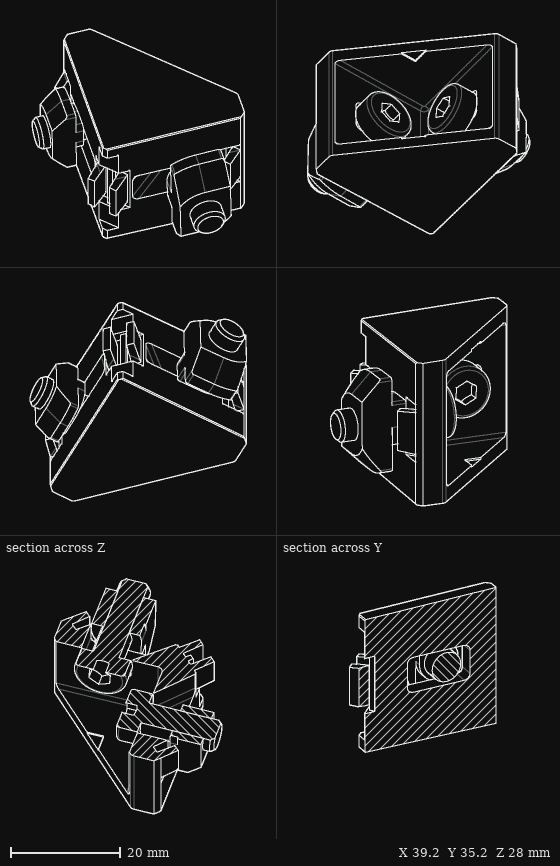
import cadquery as cq
import math


LEG_LENGTH = 27.2
HEIGHT = 28.0
LEG_THICKNESS = 6.0
LEG_END_WIDTH = 5.37
END_CHAMFER = 1.05
CORNER_CHAMFER = 0.75
BACK_EDGE_RADIUS = 1.1
EDGE_BEVEL = 0.2
DRAFT = 1.0
BACK_MIDDLE = (LEG_LENGTH + LEG_END_WIDTH) / 2

POCKET_HEIGHT = 22.35
CUT_OVERRUN = 0.4
POCKET_CORNER_RADIUS = 1.0
POCKET_EDGE_RADIUS = 0.7
PRY_NOTCH_WIDTH = 3.18
PRY_NOTCH_HEIGHT = 22.97

CORNER_RELIEF = 2.9
CORNER_RELIEF_HEIGHT = 22.05
WEB_RELIEF = 3.6

NOTCH_HEIGHT = 11.2
NOTCH_STARTS = (END_CHAMFER - LEG_LENGTH, -5.05)
NOTCH_DEPTH = 2.1
NOTCH_RAMP_LENGTH = 2.4
HOOK_TIPS = (-23.5, -1.7)
HOOK_REACH = 2.45
HOOK_TIP_STEP = 0.98
HOOK_DRAFT = 2.0
HOOK_ROOT_DEPTH = 2.45
HOOK_ROOT_HEIGHT = 8.15
HOOK_TIP_HEIGHT = 7.7

SCREW_POSITION = 16.95
SLOT_HEIGHT = 7.05
SLOT_RADIUS = 1.18
SLOT_FAR_EDGE = 21.75
SLOT_INNER_EDGE = 12.25
SLOT_OUTER_EDGE = 5.55

SCREW_DIAMETER = 6.0
TIP_DIAMETER = 4.9
TIP_LENGTH = 0.65
HEAD_DIAMETER = 10.0
HEAD_HEIGHT = 4.1
HEAD_RADIUS = 0.6
SOCKET_FLATS = 4.0
SOCKET_DEPTH = 2.0
SOCKET_CONE_DEPTH = 1.35
SOCKET_TWIST = 4.0

NUT_TWIST = 1.1
NUT_CORNER_RADIUS = 0.5

STATIONS = (
    dict(turn=0, place=(-SCREW_POSITION, 0, 0), screw_reach=8.0, half_width=4.0,
         half_length=8.0, neck_length=1.45, slope_start=3.05, nut_reach=6.0, neck_radius=1.0),
    dict(turn=90, place=(0, SCREW_POSITION, 0), screw_reach=12.0, half_width=4.82,
         half_length=9.6, neck_length=2.8, slope_start=4.98, nut_reach=8.8, neck_radius=0.5),
)


def other_leg(body):
    """Mirror image of a feature of the X leg, on the Y leg."""
    return body.mirror(mirrorPlane=(1, 1, 0), basePointVector=(0, 0, 0))


def upright_prism(points, height):
    """Prism with an XY outline, centred on z = 0."""
    return cq.Workplane("XY").polyline(points).close().extrude(height / 2, both=True)


def draft_envelope(back_height):
    """Slab that tapers in height from the back towards the outer corner."""
    overrun = 1.95
    depth = math.sqrt(2) * BACK_MIDDLE
    taper = math.tan(math.radians(DRAFT))
    back_half = back_height / 2 + overrun * taper
    corner_half = back_height / 2 - (depth + overrun) * taper
    diagonal = cq.Plane(origin=(-BACK_MIDDLE, BACK_MIDDLE, 0), xDir=(1, -1, 0), normal=(1, 1, 0))
    return (
        cq.Workplane(diagonal)
        .polyline(
            [
                (-overrun, back_half),
                (depth + overrun, corner_half),
                (depth + overrun, -corner_half),
                (-overrun, -back_half),
            ]
        )
        .close()
        .extrude(LEG_LENGTH, both=True)
    )


def bracket_blank():
    blank = upright_prism(
        [
            (-CORNER_CHAMFER, 0),
            (0, CORNER_CHAMFER),
            (0, LEG_LENGTH - END_CHAMFER),
            (-END_CHAMFER, LEG_LENGTH),
            (-LEG_END_WIDTH, LEG_LENGTH),
            (-LEG_LENGTH, LEG_END_WIDTH),
            (-LEG_LENGTH, END_CHAMFER),
            (END_CHAMFER - LEG_LENGTH, 0),
        ],
        HEIGHT,
    )
    for point in ((-LEG_END_WIDTH, LEG_LENGTH, 0), (-LEG_LENGTH, LEG_END_WIDTH, 0)):
        edge = cq.selectors.NearestToPointSelector(point)
        blank = blank.edges("|Z").edges(edge).fillet(BACK_EDGE_RADIUS)
    blank = blank.intersect(draft_envelope(HEIGHT))
    for outer_face in ("<Y", ">X"):
        blank = blank.faces(outer_face).edges("<Z or >Z").chamfer(EDGE_BEVEL)
    return blank


def pocket():
    """Triangular pocket between the legs, open at the sloping back."""
    inner = LEG_THICKNESS
    outer = LEG_LENGTH + CUT_OVERRUN
    prism = upright_prism([(-inner, inner), (-inner, outer), (-outer, inner)], HEIGHT)
    corner = cq.selectors.NearestToPointSelector((-inner, inner, 0))
    prism = prism.edges("|Z").edges(corner).fillet(POCKET_CORNER_RADIUS)
    prism = prism.intersect(draft_envelope(POCKET_HEIGHT))

    def borders_a_leg(edge):
        middle = edge.Center()
        return middle.y - middle.x < 2 * BACK_MIDDLE

    return prism.faces("<Z or >Z").edges().filter(borders_a_leg).fillet(POCKET_EDGE_RADIUS)


def pry_notch():
    """Small triangular notch in both pocket rims at the middle of the back."""
    near = BACK_MIDDLE - PRY_NOTCH_WIDTH / 2
    far = BACK_MIDDLE + PRY_NOTCH_WIDTH / 2 + CUT_OVERRUN
    return upright_prism([(-near, near), (-near, far), (-far, near)], PRY_NOTCH_HEIGHT)


def corner_relief(size, height):
    """45-degree cut across the outer corner."""
    return upright_prism([(-size, 0), (0, size), (size, -size)], height)


def hook_notch(start):
    apex = start + NOTCH_DEPTH
    return upright_prism(
        [(start, 0), (apex, NOTCH_DEPTH), (apex + NOTCH_RAMP_LENGTH, 0)], NOTCH_HEIGHT
    )


def hook(tip, notch_start):
    """Leaning snap hook on the floor of a notch, tapered in thickness and height towards its tip."""
    outer_slope = math.tan(math.radians(45 - HOOK_DRAFT))
    inner_slope = math.tan(math.radians(45 + HOOK_DRAFT))
    inner_tip = (tip + HOOK_TIP_STEP, HOOK_TIP_STEP - HOOK_REACH)
    outer_root_y = (outer_slope * (tip - notch_start) - HOOK_REACH) / (1 + outer_slope)
    outer_root = (notch_start + outer_root_y, outer_root_y)
    inner_root = (inner_tip[0] - (HOOK_ROOT_DEPTH - inner_tip[1]) / inner_slope, HOOK_ROOT_DEPTH)
    profile = upright_prism(
        [(tip, -HOOK_REACH), inner_tip, inner_root, outer_root], HOOK_ROOT_HEIGHT
    )
    root_half = HOOK_ROOT_HEIGHT / 2
    tip_half = HOOK_TIP_HEIGHT / 2
    taper = (
        cq.Workplane("YZ", origin=(inner_root[0] - LEG_THICKNESS, 0, 0))
        .polyline(
            [
                (HOOK_ROOT_DEPTH, root_half),
                (0, root_half),
                (-HOOK_REACH, tip_half),
                (-HOOK_REACH, -tip_half),
                (0, -root_half),
                (HOOK_ROOT_DEPTH, -root_half),
            ]
        )
        .close()
        .extrude(2 * LEG_LENGTH)
    )
    return profile.intersect(taper)


def slot_outline(near_edge, depth):
    """Rounded rectangle on a plane parallel to the X leg, at a depth below its outer face."""
    middle = (SLOT_FAR_EDGE + near_edge) / 2
    sketch = cq.Sketch().rect(SLOT_FAR_EDGE - near_edge, SLOT_HEIGHT).vertices().fillet(SLOT_RADIUS)
    return sketch.moved(cq.Location(cq.Plane.named("XZ", origin=(-middle, depth, 0))))


def screw_slot():
    """Slot through the X leg whose end towards the corner ramps outwards."""
    return cq.Workplane("XY").placeSketch(
        slot_outline(SLOT_INNER_EDGE, LEG_THICKNESS), slot_outline(SLOT_OUTER_EDGE, 0)
    ).loft(ruled=True)


def make_bracket():
    body = bracket_blank().cut(pocket()).cut(pry_notch())
    body = body.cut(corner_relief(CORNER_RELIEF, CORNER_RELIEF_HEIGHT))
    body = body.cut(corner_relief(WEB_RELIEF, NOTCH_HEIGHT))
    leg_cuts = [screw_slot(), *[hook_notch(start) for start in NOTCH_STARTS]]
    for cutter in leg_cuts:
        body = body.cut(cutter).cut(other_leg(cutter))
    for tip, start in zip(HOOK_TIPS, NOTCH_STARTS):
        leg_hook = hook(tip, start)
        body = body.union(leg_hook).union(other_leg(leg_hook))
    return body


def make_screw(screw_reach):
    """Socket head screw pointing along -Y, with the outer face of the leg at y = 0."""
    head_base = LEG_THICKNESS
    head_top = head_base + HEAD_HEIGHT
    shank = SCREW_DIAMETER / 2
    tip = TIP_DIAMETER / 2
    head = HEAD_DIAMETER / 2
    screw = (
        cq.Workplane("XY")
        .polyline(
            [
                (0, -screw_reach),
                (tip, -screw_reach),
                (shank, TIP_LENGTH - screw_reach),
                (shank, head_base),
                (head, head_base),
                (head, head_top),
                (0, head_top),
            ]
        )
        .close()
        .revolve(360, (0, 0, 0), (0, 1, 0))
        .faces(">Y")
        .edges()
        .fillet(HEAD_RADIUS)
    )
    corner_radius = SOCKET_FLATS / math.sqrt(3)
    half_sector = 180 / 6
    full_depth = SOCKET_DEPTH + SOCKET_CONE_DEPTH
    hexagon = (
        cq.Workplane("XZ", origin=(0, head_top, 0))
        .polygon(6, 2 * corner_radius)
        .extrude(full_depth)
        .rotate((0, 0, 0), (0, 1, 0), half_sector - SOCKET_TWIST)
    )
    drill = (
        cq.Workplane("XY")
        .polyline(
            [
                (0, head_top),
                (corner_radius, head_top),
                (corner_radius, head_top - SOCKET_DEPTH),
                (0, head_top - full_depth),
            ]
        )
        .close()
        .revolve(360, (0, 0, 0), (0, 1, 0))
    )
    return screw.cut(hexagon.intersect(drill))


def hammer_prism(half_width, half_length, start, end, corner_radius):
    """Prism along -Y: two opposite quadrants are rounded about the axis, two are square."""
    side_end = math.sqrt(half_length**2 - half_width**2)
    half_turn = math.atan2(half_width, side_end) / 2
    arc_x = half_length * math.sin(half_turn)
    arc_z = half_length * math.cos(half_turn)
    prism = (
        cq.Workplane("XZ", origin=(0, -start, 0))
        .moveTo(half_width, half_length)
        .lineTo(0, half_length)
        .threePointArc((-arc_x, arc_z), (-half_width, side_end))
        .lineTo(-half_width, -half_length)
        .lineTo(0, -half_length)
        .threePointArc((arc_x, -arc_z), (half_width, -side_end))
        .close()
        .extrude(end - start)
    )

    def is_corner(edge):
        middle = edge.Center()
        return min(abs(middle.x), abs(middle.z)) > half_width / 2

    return prism.edges("|Y").filter(is_corner).fillet(corner_radius)


def nut_slopes(half_length, start, slope_start, end):
    """Envelope of the nut: 45-degree slopes on the square quadrants, a cone on the round ones."""
    end_length = half_length - (end - slope_start)
    half_profile = [
        (0, -start),
        (half_length, -start),
        (half_length, -slope_start),
        (end_length, -end),
        (0, -end),
    ]
    cone = cq.Workplane("XY").polyline(half_profile).close().revolve(360, (0, 0, 0), (0, 1, 0))
    wedge = cq.Workplane("ZY").polyline(half_profile).close().extrude(-half_length)
    return cone.union(wedge).union(wedge.rotate((0, 0, 0), (0, 1, 0), 180))


def make_nut(station):
    half_width = station["half_width"]
    half_length = station["half_length"]
    neck_length = station["neck_length"]
    nut_reach = station["nut_reach"]
    plate = hammer_prism(half_width, half_length, neck_length, nut_reach, NUT_CORNER_RADIUS)
    plate = plate.intersect(nut_slopes(half_length, neck_length, station["slope_start"], nut_reach))
    neck = hammer_prism(half_width, half_width, 0, neck_length, station["neck_radius"])
    bore = cq.Workplane("XZ").circle(SCREW_DIAMETER / 2).extrude(nut_reach)
    return plate.union(neck).cut(bore).rotate((0, 0, 0), (0, 1, 0), -NUT_TWIST)


def at_station(body, station):
    return body.rotate((0, 0, 0), (0, 0, 1), station["turn"]).translate(station["place"])


bracket = make_bracket()
screws = [at_station(make_screw(station["screw_reach"]), station) for station in STATIONS]
nuts = [at_station(make_nut(station), station) for station in STATIONS]

result = cq.Compound.makeCompound(
    [bracket.val(), *[screw.val() for screw in screws], *[nut.val() for nut in nuts]]
)